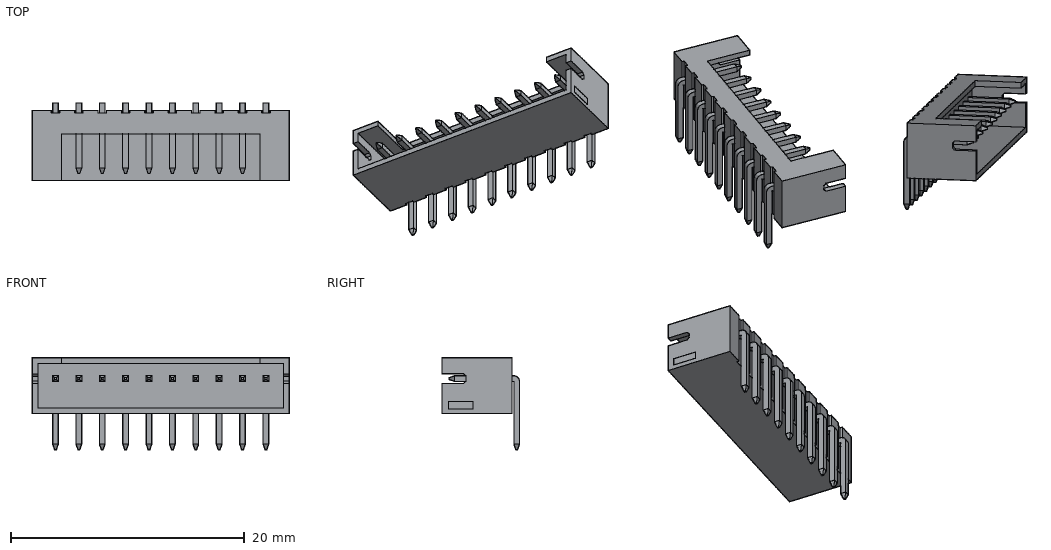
import cadquery as cq


pin_count = 10
pitch = 2.0
end_margin = 2.0
body_length = (pin_count - 1) * pitch + 2 * end_margin
body_depth = 6.0
body_height = 4.8
wall = 0.5
back_wall = 1.3

window_end_margin = 2.5
window_depth = 4.0

notch_depth = 2.05
notch_height = 0.8
notch_chamfer = 0.2

slot_width = 0.7
slot_depth = 0.2

pin_size = 0.5
bend_radius = pin_size
pin_row_height = 3.0
pin_tip_setback = 0.6
pin_back_reach = 0.65
pin_drop = 3.1
taper_length = 0.5
tip_size = 0.15

pad_thickness = 0.01
pad_depth = 2.1
pad_height = 0.65
pad_front_offset = 0.55
pad_bottom = 0.4

front_y = -body_depth
pin_positions = [(i - (pin_count - 1) / 2) * pitch for i in range(pin_count)]


def box(size_x, size_y, size_z, center_x, front, bottom):
    """Box centred in X, starting at the given front Y and bottom Z."""
    block = cq.Workplane("XY").box(size_x, size_y, size_z, centered=(True, False, False))
    return block.translate((center_x, front, bottom))


def make_cavity():
    return box(
        body_length - 2 * wall,
        body_depth - back_wall,
        body_height - 2 * wall,
        0,
        front_y,
        wall,
    )


def make_window():
    window_length = body_length - 2 * window_end_margin
    return box(window_length, window_depth, wall, 0, front_y, body_height - wall)


def make_end_notches():
    """One bar across both end walls, with its inner edges chamfered."""
    bar = box(body_length, notch_depth, notch_height, 0, front_y, pin_row_height - notch_height / 2)
    return bar.faces(">Y").edges("|X").chamfer(notch_chamfer)


def make_back_slot(x):
    return box(slot_width, slot_depth, body_height, x, -slot_depth, 0)


def make_taper(base_plane):
    """Square point growing along the normal of the plane it starts on."""
    base = cq.Workplane(base_plane).rect(pin_size, pin_size)
    return base.workplane(offset=taper_length).rect(tip_size, tip_size).loft()


def make_pin(x):
    """L-shaped pin with a rounded outer bend and a tapered point at each end."""
    half = pin_size / 2
    leg_y = pin_back_reach - half
    mating_shoulder = front_y + pin_tip_setback + taper_length
    leg_shoulder = taper_length - pin_drop

    mating_arm = box(
        pin_size,
        pin_back_reach - mating_shoulder,
        pin_size,
        x,
        mating_shoulder,
        pin_row_height - half,
    )
    leg = box(
        pin_size,
        pin_size,
        pin_row_height + half - leg_shoulder,
        x,
        leg_y - half,
        leg_shoulder,
    )
    bent_bar = mating_arm.union(leg)
    bent_bar = bent_bar.edges("|X and >Y and >Z").fillet(bend_radius)

    mating_plane = cq.Plane((x, mating_shoulder, pin_row_height), xDir=(1, 0, 0), normal=(0, -1, 0))
    leg_plane = cq.Plane((x, leg_y, leg_shoulder), xDir=(1, 0, 0), normal=(0, 0, -1))
    return bent_bar.union(make_taper(mating_plane)).union(make_taper(leg_plane))


def make_pad():
    """Pad straddling the end face, so that only half of its X size stands proud."""
    return box(
        2 * pad_thickness,
        pad_depth,
        pad_height,
        body_length / 2,
        front_y + pad_front_offset,
        pad_bottom,
    )


def make_shroud():
    shroud = box(body_length, body_depth, body_height, 0, front_y, 0)
    shroud = shroud.cut(make_cavity()).cut(make_window()).cut(make_end_notches())
    for x in pin_positions:
        shroud = shroud.cut(make_back_slot(x))
    return shroud.union(make_pad())


result = make_shroud()
for pin_x in pin_positions:
    result = result.union(make_pin(pin_x))